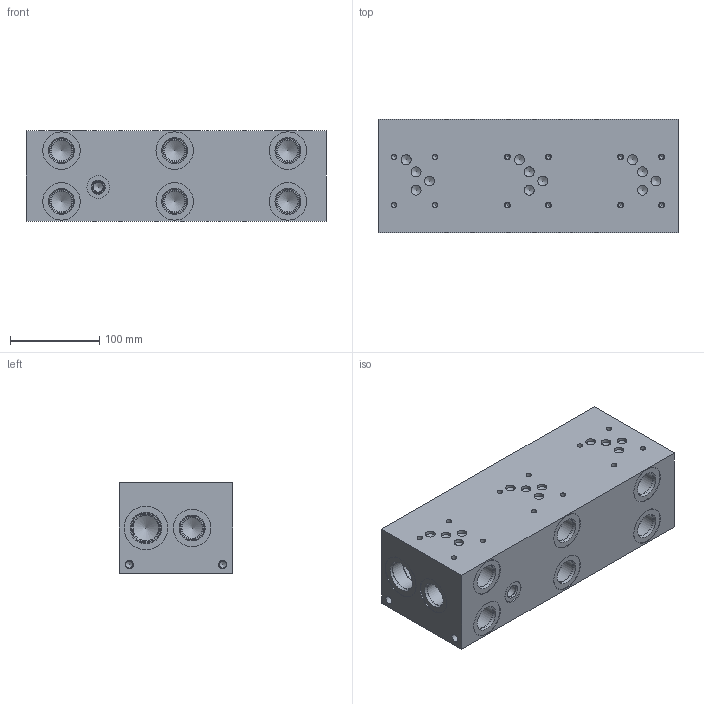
import cadquery as cq
import math

LENGTH = 336.55
WIDTH = 127.0
HEIGHT = 101.6

DRILL_POINT_ANGLE = 118.0

STATION_COUNT = 3
STATION_PITCH = 127.0

FIRST_BOLT_X = 18.1
FIRST_BOLT_Y = 30.8
BOLT_SPAN_X = 46.0
BOLT_SPAN_Y = 54.0
BOLT_HOLE = dict(thread=6.35, thread_depth=12.7, tap_drill=5.11, depth=16.0)

VALVE_PORT_OFFSETS = [(24.6, 16.7), (24.6, 37.3), (39.7, 27.0), (13.5, 50.8)]
VALVE_PORT_DIAMETER = 11.11
VALVE_PORT_DEPTH = 3.5

SPOTFACE_DEPTH = 0.8
SEAT_TAPER_ANGLE = 15.0
LARGE_PORT = dict(
    spotface=49.0, seat=33.76, seat_depth=4.0, thread=33.34, thread_depth=20.0,
    tap_drill=31.27, tap_depth=25.0, passage=28.57, depth=40.0,
)
MEDIUM_PORT = dict(
    spotface=42.04, seat=27.43, seat_depth=4.0, thread=26.99, thread_depth=20.0,
    tap_drill=24.92, tap_depth=25.0, passage=23.01, depth=40.0,
)
SMALL_PORT = dict(
    spotface=25.4, seat=14.7, seat_depth=3.0, thread=14.29, thread_depth=12.7,
    tap_drill=12.29, tap_depth=16.0, passage=11.12, depth=25.0,
)

SIDE_PORT_X = 39.8
SIDE_PORT_EDGE_DISTANCE = 22.3
GAUGE_PORT_X = 81.0
GAUGE_PORT_Z = 38.3

END_PORT_Z = HEIGHT / 2
TANK_PORT_Y = 97.3
PRESSURE_PORT_Y = 45.4
MOUNT_EDGE_DISTANCE = 11.1
MOUNT_Z = 9.7
MOUNT_HOLE = dict(thread=9.53, thread_depth=19.0, tap_drill=7.92, depth=25.0)


def drill_cone_length(large_diameter, small_diameter=0.0):
    """Axial length of a drill-point cone between two diameters."""
    half_angle = math.radians(DRILL_POINT_ANGLE / 2)
    return (large_diameter - small_diameter) / 2 / math.tan(half_angle)


def revolved_cutter(profile):
    """Revolve (diameter, depth) points about Z, with the depth running toward -Z."""
    points = [(0, 0)] + [(diameter / 2, -depth) for diameter, depth in profile]
    return cq.Workplane("XZ").polyline(points).close().revolve(360, (0, 0), (0, 1))


def plain_hole(diameter, depth):
    """Blind drilled hole with a conical bottom."""
    return revolved_cutter([
        (diameter, 0),
        (diameter, depth),
        (0, depth + drill_cone_length(diameter)),
    ])


def tapped_hole(thread, thread_depth, tap_drill, depth):
    """Thread bore stepping down to a deeper tap drill with a conical bottom."""
    return revolved_cutter([
        (thread, 0),
        (thread, thread_depth),
        (tap_drill, thread_depth),
        (tap_drill, depth),
        (0, depth + drill_cone_length(tap_drill)),
    ])


def threaded_port(spotface, seat, seat_depth, thread, thread_depth, tap_drill, tap_depth, passage, depth):
    """Hydraulic port narrowing from its spotface to a blind flow passage."""
    taper_length = seat_depth - SPOTFACE_DEPTH
    mouth = seat + 2 * taper_length * math.tan(math.radians(SEAT_TAPER_ANGLE))
    return revolved_cutter([
        (spotface, 0),
        (spotface, SPOTFACE_DEPTH),
        (mouth, SPOTFACE_DEPTH),
        (seat, seat_depth),
        (thread, seat_depth + (seat - thread) / 2),
        (thread, thread_depth),
        (tap_drill, thread_depth),
        (tap_drill, tap_depth),
        (passage, tap_depth + drill_cone_length(tap_drill, passage)),
        (passage, depth),
        (0, depth + drill_cone_length(passage)),
    ])


def on_top(cutter, x, y):
    """Place a cutter on the top face, pointing down."""
    return cutter.translate((x, y, HEIGHT))


def on_front(cutter, x, z):
    """Place a cutter on the front face, pointing toward +Y."""
    return cutter.rotate((0, 0, 0), (1, 0, 0), 90).translate((x, 0, z))


def on_left(cutter, y, z):
    """Place a cutter on the left face, pointing toward +X."""
    return cutter.rotate((0, 0, 0), (0, 1, 0), -90).translate((0, y, z))


def valve_station_cutters(station_x):
    """Valve bolt holes and flow ports on top, and two ports on the front face."""
    bolt_hole = tapped_hole(**BOLT_HOLE)
    valve_port = plain_hole(VALVE_PORT_DIAMETER, VALVE_PORT_DEPTH)
    side_port = threaded_port(**MEDIUM_PORT)
    bolt_x = station_x + FIRST_BOLT_X
    cutters = []
    for x in (bolt_x, bolt_x + BOLT_SPAN_X):
        for y in (FIRST_BOLT_Y, FIRST_BOLT_Y + BOLT_SPAN_Y):
            cutters.append(on_top(bolt_hole, x, y))
    for offset_x, offset_y in VALVE_PORT_OFFSETS:
        cutters.append(on_top(valve_port, bolt_x + offset_x, FIRST_BOLT_Y + offset_y))
    for z in (SIDE_PORT_EDGE_DISTANCE, HEIGHT - SIDE_PORT_EDGE_DISTANCE):
        cutters.append(on_front(side_port, station_x + SIDE_PORT_X, z))
    return cutters


def gauge_port_cutter():
    """Small threaded port on the front face, beside the first pair of side ports."""
    return on_front(threaded_port(**SMALL_PORT), GAUGE_PORT_X, GAUGE_PORT_Z)


def left_face_cutters():
    """Tank and pressure ports, and the two mounting holes below them."""
    mount_hole = tapped_hole(**MOUNT_HOLE)
    return [
        on_left(threaded_port(**LARGE_PORT), TANK_PORT_Y, END_PORT_Z),
        on_left(threaded_port(**MEDIUM_PORT), PRESSURE_PORT_Y, END_PORT_Z),
        on_left(mount_hole, MOUNT_EDGE_DISTANCE, MOUNT_Z),
        on_left(mount_hole, WIDTH - MOUNT_EDGE_DISTANCE, MOUNT_Z),
    ]


all_cutters = left_face_cutters() + [gauge_port_cutter()]
for station in range(STATION_COUNT):
    all_cutters += valve_station_cutters(station * STATION_PITCH)

result = cq.Workplane("XY").box(LENGTH, WIDTH, HEIGHT, centered=False)
for cutter in all_cutters:
    result = result.cut(cutter)